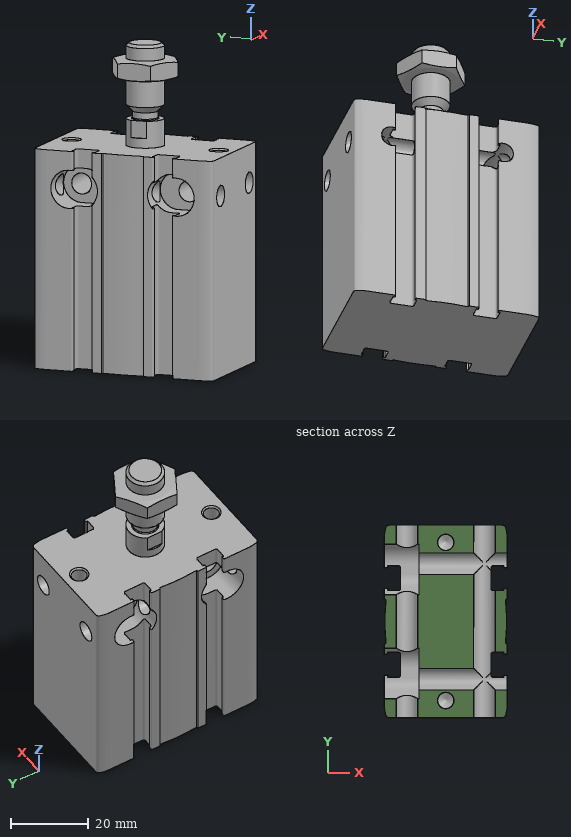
import cadquery as cq
import math

HOUSING_WIDTH = 32.0
HOUSING_DEPTH = 50.0
HOUSING_HEIGHT = 58.0
TOTAL_HEIGHT = 85.0

BEND_RADIUS = 10.0
BEND_START = 21.4
CORNER_FILLET = 1.0

SLOT_OFFSET = 11.2
SLOT_MOUTH = 5.35
SLOT_WIDTH = 6.4
SLOT_DEPTH = 4.25
SLOT_LIP = 1.0
LIP_FILLET = 0.25
SLOT_FLOOR_FILLET = 0.5

RECESS_WIDTH = 11.7
RECESS_FLOOR_WIDTH = 11.3
RECESS_DEPTH = 0.4
BULGE_WIDTH = 9.9
BULGE_HEIGHT = 0.25

BOLT_HOLE_DIAMETER = 5.5
BOLT_HOLE_DROP = 10.0
SIDE_BOLT_OFFSET = 15.0
END_BOLT_OFFSET = 10.0
COUNTERBORE_DIAMETER = 10.0
COUNTERBORE_STRETCH = 3.0
COUNTERBORE_DEPTH = 9.0

TAP_DIAMETER = 4.2
TAP_RIM_DIAMETER = 5.0
TAP_DEPTH = 10.0
TAP_OFFSET = 20.5
TAP_TIP_ANGLE = 118.0

ROD_DIAMETER = 10.0
ROD_TOP = 65.0
FLAT_ACROSS = 9.0
FLAT_HEIGHT = 4.5
NECK_DIAMETER = 6.6
NECK_FOOT = 0.25
THREAD_START = 68.7
TIP_DIAMETER = 8.5

NUT_ACROSS_FLATS = 16.0
NUT_HEIGHT = 5.0
NUT_BOTTOM = 75.9
NUT_FACE_DIAMETER = 14.6
NUT_CHAMFER_HEIGHT = 0.6

HALF_WIDTH = HOUSING_WIDTH / 2
HALF_DEPTH = HOUSING_DEPTH / 2
BOLT_HOLE_Z = HOUSING_HEIGHT - BOLT_HOLE_DROP
ROD_RADIUS = ROD_DIAMETER / 2
NECK_RADIUS = NECK_DIAMETER / 2
TIP_RADIUS = TIP_DIAMETER / 2
SIDES = (-1, 1)


def make_block():
    """Housing block with bent side faces and filleted vertical corners."""
    bend_centre = HALF_WIDTH - BEND_RADIUS
    bend_rise = HALF_DEPTH - BEND_START
    end_half_width = bend_centre + math.sqrt(BEND_RADIUS**2 - bend_rise**2)
    block = (
        cq.Workplane("XY")
        .moveTo(HALF_WIDTH, -BEND_START)
        .lineTo(HALF_WIDTH, BEND_START)
        .radiusArc((end_half_width, HALF_DEPTH), -BEND_RADIUS)
        .lineTo(-end_half_width, HALF_DEPTH)
        .radiusArc((-HALF_WIDTH, BEND_START), -BEND_RADIUS)
        .lineTo(-HALF_WIDTH, -BEND_START)
        .radiusArc((-end_half_width, -HALF_DEPTH), -BEND_RADIUS)
        .lineTo(end_half_width, -HALF_DEPTH)
        .radiusArc((HALF_WIDTH, -BEND_START), -BEND_RADIUS)
        .close()
        .extrude(HOUSING_HEIGHT)
    )
    end_corners = block.faces("<Y or >Y").edges("|Z")
    return end_corners.fillet(CORNER_FILLET)


def cut_slots(block):
    """Cut the four sensor slots and round their lips and floor corners."""
    slot_floor = HALF_WIDTH - SLOT_DEPTH
    lip_inside = HALF_WIDTH - SLOT_LIP
    slot = (
        cq.Workplane("XY")
        .box(lip_inside - slot_floor, SLOT_WIDTH, HOUSING_HEIGHT, centered=(False, True, False))
        .edges("|Z and <X")
        .fillet(SLOT_FLOOR_FILLET)
        .translate((slot_floor, 0, 0))
    )
    mouth = (
        cq.Workplane("XY")
        .box(SLOT_DEPTH, SLOT_MOUTH, HOUSING_HEIGHT, centered=(False, True, False))
        .translate((slot_floor, 0, 0))
    )
    cutter = slot.union(mouth)
    for side in SIDES:
        right_slot = cutter.translate((0, side * SLOT_OFFSET, 0))
        block = block.cut(right_slot).cut(right_slot.mirror("YZ"))

    half_mouth = SLOT_MOUTH / 2
    for x in (-HALF_WIDTH, HALF_WIDTH):
        for slot_y in (-SLOT_OFFSET, SLOT_OFFSET):
            for y in (slot_y - half_mouth, slot_y + half_mouth):
                lip_edge = cq.selectors.NearestToPointSelector((x, y, HOUSING_HEIGHT / 2))
                block = block.edges("|Z").edges(lip_edge).fillet(LIP_FILLET)
    return block


def cut_side_recesses(block):
    """Cut the shallow recess with a bulging floor along both side faces."""
    floor_x = HALF_WIDTH - RECESS_DEPTH
    cutter = (
        cq.Workplane("XY")
        .moveTo(HALF_WIDTH, -RECESS_WIDTH / 2)
        .lineTo(floor_x, -RECESS_FLOOR_WIDTH / 2)
        .lineTo(floor_x, -BULGE_WIDTH / 2)
        .threePointArc((floor_x + BULGE_HEIGHT, 0), (floor_x, BULGE_WIDTH / 2))
        .lineTo(floor_x, RECESS_FLOOR_WIDTH / 2)
        .lineTo(HALF_WIDTH, RECESS_WIDTH / 2)
        .close()
        .extrude(HOUSING_HEIGHT)
    )
    return block.cut(cutter).cut(cutter.mirror("YZ"))


def cut_bolt_holes(block):
    """Cut cross holes along X and Y, and counterbores in the -X face."""
    bolt_radius = BOLT_HOLE_DIAMETER / 2
    for side in SIDES:
        hole_y = side * SIDE_BOLT_OFFSET
        side_hole = cq.Solid.makeCylinder(
            bolt_radius, HOUSING_WIDTH, cq.Vector(-HALF_WIDTH, hole_y, BOLT_HOLE_Z), cq.Vector(1, 0, 0)
        )
        end_hole = cq.Solid.makeCylinder(
            bolt_radius,
            HOUSING_DEPTH,
            cq.Vector(side * END_BOLT_OFFSET, -HALF_DEPTH, BOLT_HOLE_Z),
            cq.Vector(0, 1, 0),
        )
        counterbore = (
            cq.Workplane("YZ", origin=(-HALF_WIDTH, 0, 0))
            .center(hole_y - side * COUNTERBORE_STRETCH / 2, BOLT_HOLE_Z)
            .slot2D(COUNTERBORE_DIAMETER + COUNTERBORE_STRETCH, COUNTERBORE_DIAMETER)
            .extrude(COUNTERBORE_DEPTH)
        )
        block = block.cut(cq.Workplane(side_hole)).cut(cq.Workplane(end_hole)).cut(counterbore)
    return block


def cut_tapped_holes(block):
    """Cut two blind holes with a conical end and a chamfered rim into the top face."""
    tap_radius = TAP_DIAMETER / 2
    rim_radius = TAP_RIM_DIAMETER / 2
    rim_depth = rim_radius - tap_radius
    tip_length = tap_radius / math.tan(math.radians(TAP_TIP_ANGLE / 2))
    cutter = (
        cq.Workplane("XZ")
        .polyline(
            [
                (0, 0),
                (rim_radius, 0),
                (tap_radius, -rim_depth),
                (tap_radius, -TAP_DEPTH),
                (0, -TAP_DEPTH - tip_length),
            ]
        )
        .close()
        .revolve(360, (0, 0), (0, 1))
    )
    for side in SIDES:
        block = block.cut(cutter.translate((0, side * TAP_OFFSET, HOUSING_HEIGHT)))
    return block


def make_housing():
    """Housing with its slots, recesses, bolt holes and tapped holes."""
    block = make_block()
    block = cut_slots(block)
    block = cut_side_recesses(block)
    block = cut_bolt_holes(block)
    return cut_tapped_holes(block)


def make_rod():
    """Rod standing on the housing, with wrench flats, a neck and a chamfered threaded end."""
    neck_top = THREAD_START - (ROD_RADIUS - NECK_RADIUS)
    tip_chamfer = ROD_RADIUS - TIP_RADIUS
    rod = (
        cq.Workplane("XZ")
        .polyline(
            [
                (0, HOUSING_HEIGHT),
                (ROD_RADIUS, HOUSING_HEIGHT),
                (ROD_RADIUS, ROD_TOP),
                (NECK_RADIUS + NECK_FOOT, ROD_TOP),
                (NECK_RADIUS, ROD_TOP + NECK_FOOT),
                (NECK_RADIUS, neck_top),
                (ROD_RADIUS, THREAD_START),
                (ROD_RADIUS, TOTAL_HEIGHT - tip_chamfer),
                (TIP_RADIUS, TOTAL_HEIGHT),
                (0, TOTAL_HEIGHT),
            ]
        )
        .close()
        .revolve(360, (0, 0), (0, 1))
    )
    flat_cutter = (
        cq.Workplane("XY", origin=(FLAT_ACROSS / 2, 0, ROD_TOP - FLAT_HEIGHT))
        .box(ROD_RADIUS, ROD_DIAMETER, FLAT_HEIGHT, centered=(False, True, False))
    )
    return rod.cut(flat_cutter).cut(flat_cutter.mirror("YZ"))


def make_nut():
    """Hexagon nut with flats facing +X and -X and conical chamfers on both ends."""
    corner_radius = NUT_ACROSS_FLATS / 2 / math.cos(math.radians(30))
    face_radius = NUT_FACE_DIAMETER / 2
    hexagon = (
        cq.Workplane("XY")
        .polygon(6, 2 * corner_radius)
        .extrude(NUT_HEIGHT)
        .rotate((0, 0, 0), (0, 0, 1), 30)
    )
    envelope = (
        cq.Workplane("XZ")
        .polyline(
            [
                (0, 0),
                (face_radius, 0),
                (corner_radius, NUT_CHAMFER_HEIGHT),
                (corner_radius, NUT_HEIGHT - NUT_CHAMFER_HEIGHT),
                (face_radius, NUT_HEIGHT),
                (0, NUT_HEIGHT),
            ]
        )
        .close()
        .revolve(360, (0, 0), (0, 1))
    )
    bore = cq.Workplane("XY").circle(ROD_RADIUS).extrude(NUT_HEIGHT)
    return hexagon.intersect(envelope).cut(bore).translate((0, 0, NUT_BOTTOM))


housing = make_housing()
rod = make_rod()
nut = make_nut()

result = cq.Compound.makeCompound([housing.val(), rod.val(), nut.val()])